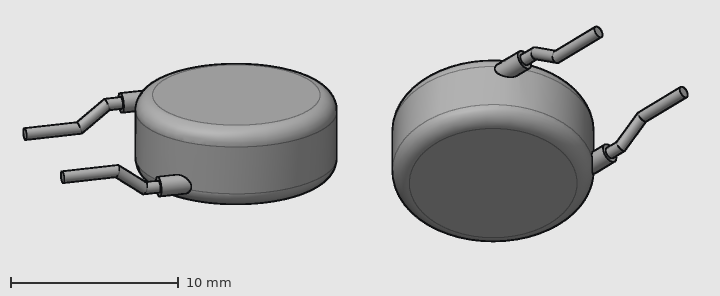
import cadquery as cq

overall_length = 18.0

disc_diameter = 12.0
disc_height = 5.0
disc_edge_radius = 1.0
disc_radius = disc_diameter / 2

sleeve_diameter = 1.19
sleeve_x = 3.75
sleeve_z = 1.3

lead_diameter = 0.72
first_bend = 0.88
second_bend = 2.61
lead_length = overall_length - disc_diameter

sleeve_end_y = -disc_radius

lead_positions = [(-sleeve_x, sleeve_z), (sleeve_x, -sleeve_z)]


def make_sleeve(x, z):
    """Round sleeve running forward from the disc's centre plane to the sleeve end."""
    return (
        cq.Workplane("XZ")
        .center(x, z)
        .circle(sleeve_diameter / 2)
        .extrude(-sleeve_end_y)
    )


def make_capacitor_body():
    """Disc with rounded rims and one sleeve per lead, all of one coating."""
    body = (
        cq.Workplane("XY", origin=(0, 0, -disc_height / 2))
        .circle(disc_radius)
        .extrude(disc_height)
        .faces("<Z or >Z")
        .edges()
        .fillet(disc_edge_radius)
    )
    for x, z in lead_positions:
        body = body.union(make_sleeve(x, z))
    return body


def make_lead(x, z):
    """Wire that starts on the sleeve end and bends to the mid-plane with mitred corners."""
    path = (
        cq.Workplane("YZ", origin=(x, 0, 0))
        .moveTo(sleeve_end_y, z)
        .lineTo(sleeve_end_y - first_bend, z)
        .lineTo(sleeve_end_y - second_bend, 0)
        .lineTo(sleeve_end_y - lead_length, 0)
    )
    return (
        cq.Workplane("XZ", origin=(x, sleeve_end_y, z))
        .circle(lead_diameter / 2)
        .sweep(path, transition="right")
    )


capacitor_body = make_capacitor_body()
leads = [make_lead(x, z).val() for x, z in lead_positions]

result = cq.Compound.makeCompound([capacitor_body.solids().val(), *leads])